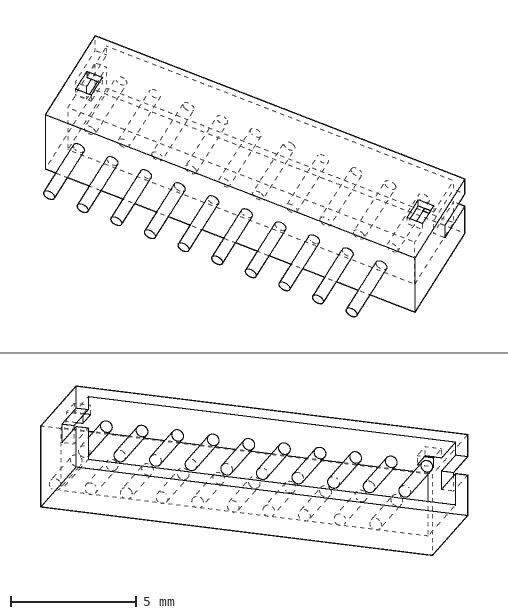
import cadquery as cq

LENGTH = 16.5
DEPTH = 4.5
HEIGHT = 3.5
END_WALL = 0.51
WALL = 0.4
BACK_WALL = 1.0

PIN_COUNT = 10
PIN_PITCH = LENGTH / (PIN_COUNT + 1)
PIN_DIAMETER = 0.5
PIN_TAIL = 2.69
PIN_TIP_RECESS = 0.68
PIN_DROP = 1.3

SLOT_DEPTH = 1.8
SLOT_DROP = 0.95
SLOT_HEIGHT = 0.8

WINDOW_LENGTH = 0.7
WINDOW_WIDTH = 1.0
WINDOW_RECESS = 1.78


def block(x, y, z, length, width, height):
    """Box with its lowest corner at x, y, z."""
    return cq.Workplane("XY").box(length, width, height, centered=False).translate((x, y, z))


def make_housing():
    outer = block(-LENGTH / 2, 0, 0, LENGTH, DEPTH, HEIGHT)
    cavity = block(
        -LENGTH / 2 + END_WALL, BACK_WALL, WALL,
        LENGTH - 2 * END_WALL, DEPTH - BACK_WALL, HEIGHT - 2 * WALL,
    )
    slots = block(
        -LENGTH / 2, DEPTH - SLOT_DEPTH, HEIGHT - SLOT_DROP - SLOT_HEIGHT,
        LENGTH, SLOT_DEPTH, SLOT_HEIGHT,
    )
    housing = outer.cut(cavity).cut(slots)
    window_y = DEPTH - WINDOW_RECESS - WINDOW_WIDTH
    for window_x in (-LENGTH / 2 + END_WALL, LENGTH / 2 - END_WALL - WINDOW_LENGTH):
        window = block(window_x, window_y, HEIGHT - WALL, WINDOW_LENGTH, WINDOW_WIDTH, WALL)
        housing = housing.cut(window)
    return housing


def make_pins():
    centers = [
        (-LENGTH / 2 + (index + 1) * PIN_PITCH, HEIGHT - PIN_DROP)
        for index in range(PIN_COUNT)
    ]
    pin_length = PIN_TAIL + DEPTH - PIN_TIP_RECESS
    return (
        cq.Workplane("XZ", origin=(0, -PIN_TAIL, 0))
        .pushPoints(centers)
        .circle(PIN_DIAMETER / 2)
        .extrude(-pin_length)
    )


result = make_housing().union(make_pins())